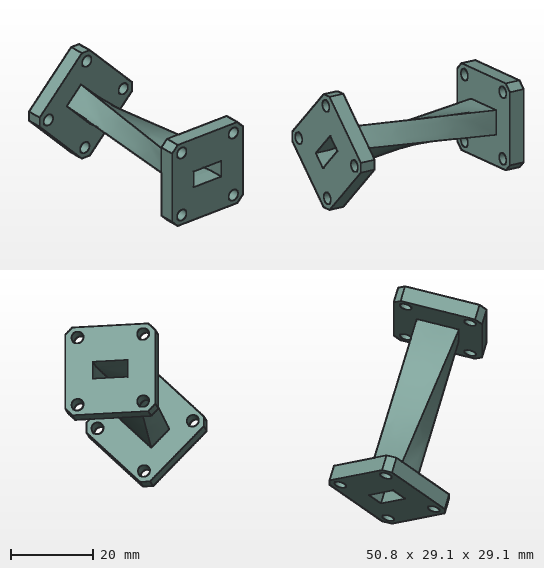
import cadquery as cq

total_length = 50.8
twist_angle = 45.0

flange_side = 22.35
flange_thickness = 4.1
corner_chamfer = 1.8
hole_diameter = 2.95
hole_pitch_wide = 16.25
hole_pitch_narrow = 17.1

bore_width = 8.65
bore_height = 4.3
wall = 1.0
tube_width = bore_width + 2 * wall
tube_height = bore_height + 2 * wall

tube_start = flange_thickness
tube_end = total_length - flange_thickness
tube_length = tube_end - tube_start


def section_plane(x, angle):
    """Plane facing +X, with its local x axis along Y before turning by angle."""
    return cq.Plane(origin=(x, 0, 0), xDir=(0, 1, 0), normal=(1, 0, 0)).rotated((0, 0, angle))


def flange(x, angle):
    """Square plate with chamfered corners, four bolt holes and a rectangular bore."""
    return (
        cq.Workplane(section_plane(x, angle))
        .rect(flange_side, flange_side)
        .extrude(flange_thickness)
        .edges("|X")
        .chamfer(corner_chamfer)
        .cut(
            cq.Workplane(section_plane(x, angle))
            .rect(hole_pitch_wide, hole_pitch_narrow, forConstruction=True)
            .vertices()
            .circle(hole_diameter / 2)
            .extrude(flange_thickness)
        )
        .cut(
            cq.Workplane(section_plane(x, angle))
            .rect(bore_width, bore_height)
            .extrude(flange_thickness)
        )
    )


def twisted_bar(width, height):
    """Rectangular bar between the flanges, its corners joined by straight lines."""
    return (
        cq.Workplane(section_plane(tube_start, -twist_angle))
        .rect(width, height)
        .workplane(offset=tube_length)
        .transformed(rotate=(0, 0, twist_angle))
        .rect(width, height)
        .loft(ruled=True)
    )


tube = twisted_bar(tube_width, tube_height).cut(twisted_bar(bore_width, bore_height))
turned_flange = flange(0, -twist_angle)
upright_flange = flange(tube_end, 0)

result = turned_flange.union(tube).union(upright_flange)